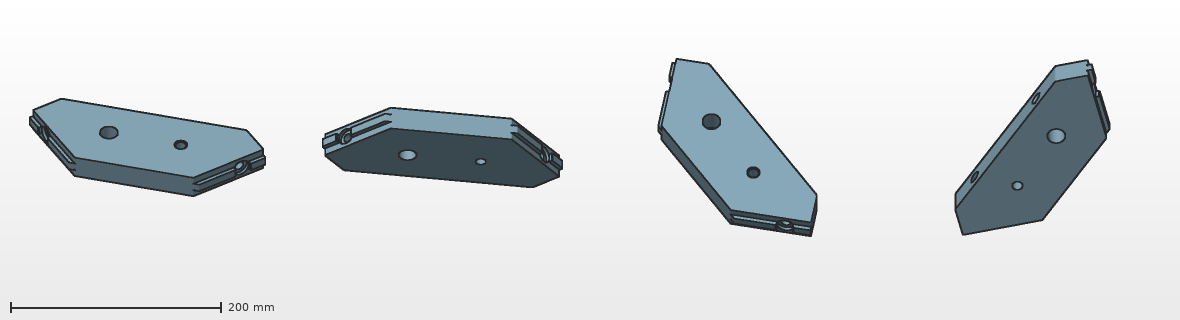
import cadquery as cq

side = 164.0
thickness = 24.0
outer_cut_offset = 35.6
inner_cut_offset = 73.8
outer_corner_radius = 4.5
edge_radius = 1.0

tongue_depth = 4.0
tongue_width = 8.5
tongue_gap = 15.9

bore_inset = 25.0
bore_diameter = 9.0
counterbore_diameter = 16.4
counterbore_depth = 3.5
web_thickness = 1.0
web_height = 29.5

large_hole_diameter = 17.0
large_hole_x = 64.3
large_hole_y = 49.9
small_hole_diameter = 9.8
small_hole_chamfer = 1.1

mid_height = thickness / 2
small_hole_x = side - large_hole_y
small_hole_y = side - large_hole_x


def angled_plate(inset, height):
    """Plate with its bottom and right sides set in by inset."""
    right = side - inset
    plate = (
        cq.Workplane("XY")
        .polyline([
            (0, inset),
            (inner_cut_offset + inset, inset),
            (right, right - inner_cut_offset),
            (right, side),
            (side - outer_cut_offset, side),
            (0, outer_cut_offset),
        ])
        .close()
        .extrude(height)
    )
    plate = round_corner(plate, (0, outer_cut_offset), outer_corner_radius)
    plate = round_corner(plate, (side - outer_cut_offset, side), outer_corner_radius)
    for corner in [
        (0, inset),
        (inner_cut_offset + inset, inset),
        (right, right - inner_cut_offset),
        (right, side),
    ]:
        plate = round_corner(plate, corner, edge_radius)
    return plate


def round_corner(solid, corner, radius):
    """Round the vertical edge nearest to the given plan position."""
    x, y = corner
    return solid.edges("|Z").edges(cq.selectors.NearestToPointSelector((x, y, mid_height))).fillet(radius)


def tongue_gap_cutter():
    """Block that interrupts the bottom tongue, with rounded mouth edges left on the tongue."""
    left = bore_inset - tongue_gap / 2
    right = bore_inset + tongue_gap / 2
    r = edge_radius
    return (
        cq.Workplane("XY")
        .moveTo(left - r, 0)
        .radiusArc((left, r), r)
        .lineTo(left, tongue_depth)
        .lineTo(right, tongue_depth)
        .lineTo(right, r)
        .radiusArc((right + r, 0), r)
        .close()
        .extrude(thickness)
    )


def screw_bore():
    """Bore along Y from the bottom side, counterbored at the body face."""
    face = cq.Workplane("XZ", origin=(bore_inset, 0, mid_height))
    bore = face.circle(bore_diameter / 2).extrude(-side)
    counterbore = (
        face.workplane(offset=-tongue_depth)
        .circle(counterbore_diameter / 2)
        .extrude(-counterbore_depth)
    )
    return bore.union(counterbore)


def mirrored_to_right_side(cutter):
    """Copy a bottom-side cutter to the right side, across the plate diagonal."""
    return (
        cutter.mirror("YZ")
        .rotate((0, 0, 0), (0, 0, 1), 90)
        .translate((side, side, 0))
    )


tongue_layer = angled_plate(0, tongue_width).translate((0, 0, mid_height - tongue_width / 2))
result = angled_plate(tongue_depth, thickness).union(tongue_layer)

for side_cutter in (tongue_gap_cutter(), screw_bore()):
    result = result.cut(side_cutter).cut(mirrored_to_right_side(side_cutter))

web = (
    cq.Workplane("XZ", origin=(bore_inset, web_height, mid_height))
    .circle(bore_diameter / 2)
    .extrude(-web_thickness)
)
result = result.union(web)

top_face = cq.Workplane("XY", origin=(0, 0, thickness))
result = result.cut(
    top_face.center(large_hole_x, large_hole_y).circle(large_hole_diameter / 2).extrude(-thickness)
)
small_hole = (
    top_face.center(small_hole_x, small_hole_y).circle(small_hole_diameter / 2).extrude(-thickness)
)
countersink = cq.Workplane("XY").add(
    cq.Solid.makeCone(
        small_hole_diameter / 2,
        small_hole_diameter / 2 + small_hole_chamfer,
        small_hole_chamfer,
        pnt=cq.Vector(small_hole_x, small_hole_y, thickness - small_hole_chamfer),
    )
)
result = result.cut(small_hole).cut(countersink)